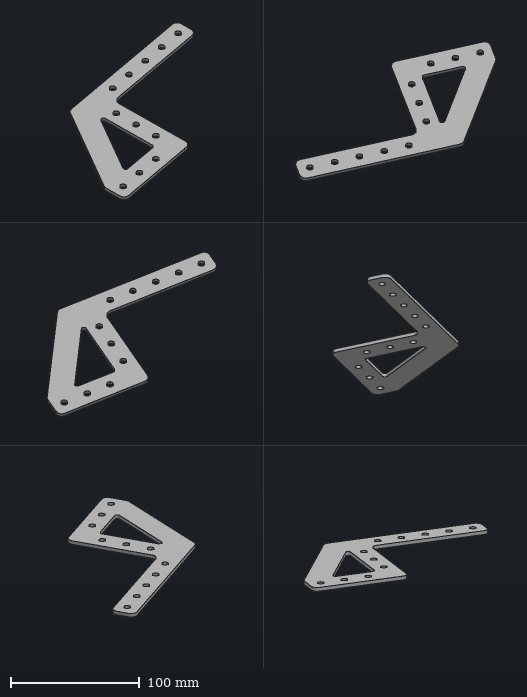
import cadquery as cq

width = 96.5
height = 180.2
thickness = 3.2
band = 20.0
pitch = band
edge_offset = band / 2
hole_diameter = 5.0
arm_holes = 5
short_row_holes = 3
corner_radius = 5.0
window_radius = 2.0

ledge_y = 80.2
slope_left_y = 49.4
slope_bottom_x = 76.2
slope = -slope_left_y / slope_bottom_x

window_top = ledge_y - band
window_right = width - band
window_left = 20.5
window_bottom = window_top + slope * (window_right - window_left)


def make_plate():
    outline = [
        (0, slope_left_y),
        (slope_bottom_x, 0),
        (width, 0),
        (width, ledge_y),
        (band, ledge_y),
        (band, height),
        (0, height),
    ]
    plate = cq.Workplane("XY").polyline(outline).close().extrude(thickness)
    return plate.edges("|Z").fillet(corner_radius)


def make_window():
    corners = [
        (window_left, window_top),
        (window_right, window_top),
        (window_right, window_bottom),
    ]
    window = cq.Workplane("XY").polyline(corners).close().extrude(thickness)
    return window.edges("|Z").fillet(window_radius)


def hole_centers():
    arm = [(edge_offset, height - edge_offset - i * pitch) for i in range(arm_holes)]
    ledge = [(band + edge_offset + i * pitch, ledge_y - edge_offset) for i in range(short_row_holes)]
    right_side = [(width - edge_offset, edge_offset + i * pitch) for i in range(short_row_holes)]
    return arm + ledge + right_side


def make_holes():
    holes = cq.Workplane("XY").pushPoints(hole_centers())
    return holes.circle(hole_diameter / 2).extrude(thickness)


result = make_plate().cut(make_window()).cut(make_holes())